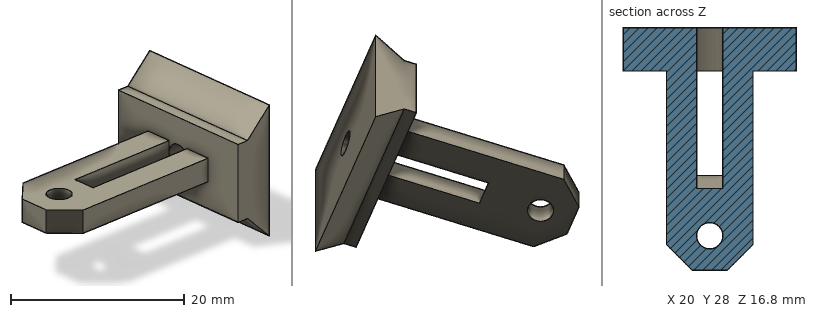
import cadquery as cq

base_width = 20.0
base_depth = 5.0
lip_depth = 1.5
lip_height = 10.0
base_height = 16.8

total_length = 28.0
arm_length = total_length - base_depth
arm_width = base_width / 2
arm_thickness = 3.0
tip_chamfer = 3.0
slot_width = 3.0
slot_length = 15.0
slot_ramp_length = arm_thickness

hole_diameter = 3.0
tip_hole_offset = 4.0


def make_base():
    """Dovetail with a straight lip, its lip face on the plane Y = 0."""
    profile = [
        (0, -lip_height / 2),
        (lip_depth, -lip_height / 2),
        (base_depth, -base_height / 2),
        (base_depth, base_height / 2),
        (lip_depth, lip_height / 2),
        (0, lip_height / 2),
    ]
    return cq.Workplane("YZ").polyline(profile).close().extrude(base_width / 2, both=True)


def make_arm():
    """Flat bar with its two outer corners cut off."""
    return (
        cq.Workplane("XY")
        .box(arm_width, arm_length, arm_thickness)
        .translate((0, -arm_length / 2, 0))
        .edges("|Z and <Y")
        .chamfer(tip_chamfer)
    )


def make_slot():
    """Slot next to the base, ending in a 45 degree ramp that is longest at the top."""
    half_thickness = arm_thickness / 2
    profile = [
        (0, -half_thickness),
        (0, half_thickness),
        (-slot_length, half_thickness),
        (-slot_length + slot_ramp_length, -half_thickness),
    ]
    return cq.Workplane("YZ").polyline(profile).close().extrude(slot_width / 2, both=True)


def make_tip_hole():
    """Vertical hole through the end of the arm."""
    return (
        cq.Workplane("XY")
        .center(0, tip_hole_offset - arm_length)
        .circle(hole_diameter / 2)
        .extrude(arm_thickness / 2, both=True)
    )


def make_base_hole():
    """Hole through the base, in line with the slot."""
    return cq.Workplane("XZ").circle(hole_diameter / 2).extrude(-base_depth)


arm = make_arm().cut(make_slot()).cut(make_tip_hole())
result = make_base().cut(make_base_hole()).union(arm)